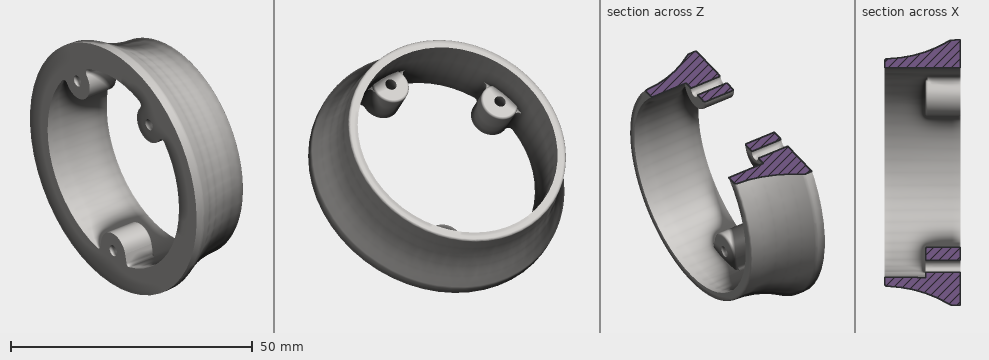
import cadquery as cq
import math

outer_radius = 27.5
back_radius = 23.6
bore_radius = 21.65
depth = 15.7
rim_depth = 2.0
rim_fillet = 1.25
back_fillet = 0.5

boss_radius = 4.0
boss_depth = 7.25
boss_end_fillet = 0.5
hole_radius = 1.2
upper_boss_distance = 19.65
upper_boss_angles = (53, 127)
upper_root_fillet = 1.0
lower_boss_distance = 19.4
lower_boss_angle = 270
lower_root_fillet = 0.65
lower_flank_taper = 13

flank_overlap = 0.55
root_ring_width = 2.2


def disc(radius, length, x=0, z=0):
    """Cylinder from the front face towards +Y."""
    return cq.Workplane("XZ").center(x, z).circle(radius).extrude(-length)


def flared_body():
    """Revolve the outline whose concave flank ends parallel to the axis."""
    drop = outer_radius - back_radius
    flank_length = depth - rim_depth
    flank_radius = (drop**2 + flank_length**2) / (2 * drop)
    half_sweep = math.asin(flank_length / flank_radius) / 2
    flank_middle = (
        back_radius + flank_radius * (1 - math.cos(half_sweep)),
        depth - flank_radius * math.sin(half_sweep),
    )
    body = (
        cq.Workplane("XY")
        .lineTo(outer_radius, 0)
        .lineTo(outer_radius, rim_depth)
        .threePointArc(flank_middle, (back_radius, depth))
        .lineTo(0, depth)
        .close()
        .revolve(360, (0, 0, 0), (0, 1, 0))
    )
    tolerance = 0.05
    rim_edge = cq.selectors.BoxSelector(
        (-outer_radius, rim_depth - tolerance, -outer_radius),
        (outer_radius, rim_depth + tolerance, outer_radius),
    )
    return body.edges(rim_edge).fillet(rim_fillet).faces(">Y").edges().fillet(back_fillet)


def boss_pad(distance, length, flank_taper):
    """Boss without blends, pointing along +X, optionally with spreading straight flanks."""
    pad = disc(boss_radius, length, distance)
    if flank_taper == 0:
        return pad
    taper = math.radians(flank_taper)
    tangent_x = distance - boss_radius * math.sin(taper)
    tangent_z = boss_radius * math.cos(taper)
    root_x = bore_radius + flank_overlap
    root_z = tangent_z + (root_x - tangent_x) * math.tan(taper)
    flanks = (
        cq.Workplane("XZ")
        .moveTo(tangent_x, tangent_z)
        .lineTo(root_x, root_z)
        .lineTo(root_x, -root_z)
        .lineTo(tangent_x, -tangent_z)
        .close()
        .extrude(-length)
    )
    return pad.union(flanks).clean()


def boss(distance, angle, root_fillet, flank_taper):
    """Boss with a rounded rear end, blended into the bore and turned to its angle."""
    blend_depth = boss_depth - boss_end_fillet
    ring = disc(bore_radius + root_ring_width, blend_depth).cut(disc(bore_radius, blend_depth))
    blended = ring.union(boss_pad(distance, blend_depth, flank_taper))

    corner_reach = 2 * boss_radius
    corners = cq.selectors.BoxSelector(
        (distance - boss_radius, 0, -corner_reach),
        (bore_radius - 0.005, boss_depth, corner_reach),
    )
    blended = blended.edges("|Y").edges(corners).fillet(root_fillet)

    rounded_pad = boss_pad(distance, boss_depth, flank_taper).faces(">Y").edges().fillet(boss_end_fillet)
    return blended.union(rounded_pad).rotate((0, 0, 0), (0, 1, 0), -angle)


def screw_hole(distance, angle):
    """Through hole on the axis of a boss."""
    x = distance * math.cos(math.radians(angle))
    z = distance * math.sin(math.radians(angle))
    return disc(hole_radius, boss_depth, x, z)


result = flared_body().cut(disc(bore_radius, depth))

bosses = [(upper_boss_distance, angle, upper_root_fillet, 0) for angle in upper_boss_angles]
bosses.append((lower_boss_distance, lower_boss_angle, lower_root_fillet, lower_flank_taper))
for distance, angle, root_fillet, flank_taper in bosses:
    result = result.union(boss(distance, angle, root_fillet, flank_taper))
    result = result.cut(screw_hole(distance, angle))